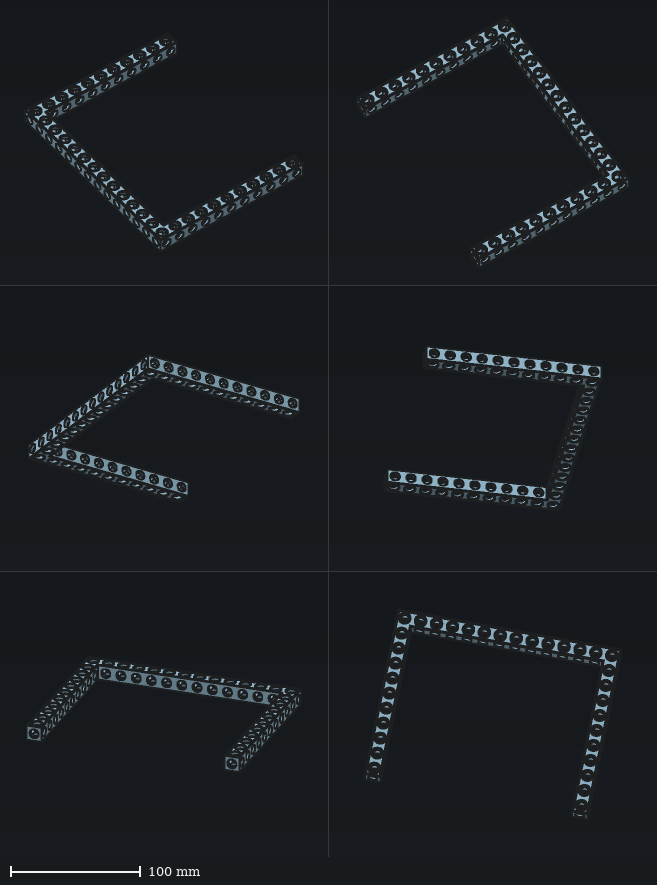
import cadquery as cq

holes_along_base = 14
holes_along_arm = 11
length = 175.0
pitch = length / holes_along_base
bar = pitch
depth = holes_along_arm * pitch
hole_diameter = 7.0
rim_width = 1.1
collar_diameter = hole_diameter + 2 * rim_width
recess_depth = 0.2
edge_break = 0.3

first_x = (bar - length) / 2
first_y = (bar - depth) / 2
column_xs = [first_x + i * pitch for i in range(holes_along_base)]
row_ys = [first_y + i * pitch for i in range(holes_along_arm)]
base_spots = [(x, first_y) for x in column_xs]
arm_spots = [(x, y) for x in (column_xs[0], column_xs[-1]) for y in row_ys[1:]]
hole_spots = base_spots + arm_spots


def u_prism(inset, height):
    """U-shaped prism opening toward +Y, its outline drawn in by `inset` on every side."""
    outer_x = length / 2 - inset
    inner_x = length / 2 - bar + inset
    front = -depth / 2 + inset
    back = depth / 2 - inset
    inner_y = -depth / 2 + bar - inset
    outline = [
        (-outer_x, front),
        (outer_x, front),
        (outer_x, back),
        (inner_x, back),
        (inner_x, inner_y),
        (-inner_x, inner_y),
        (-inner_x, back),
        (-outer_x, back),
    ]
    return cq.Workplane("XY").polyline(outline).close().extrude(height / 2, both=True)


def cylinders(plane, spots, diameter, span):
    """Cylinders of one diameter, centred on the plane and reaching span / 2 to either side."""
    return cq.Workplane(plane).pushPoints(spots).circle(diameter / 2).extrude(span / 2, both=True)


def recesses():
    """Shallow sunken fields in the top and bottom, leaving an outer rim and a collar at each hole."""
    web = u_prism(0, bar - 2 * recess_depth)
    collars = cylinders("XY", hole_spots, collar_diameter, bar)
    return u_prism(rim_width, bar).cut(web).cut(collars)


def frame():
    """Square bar bent into a U, drilled along all three axes, with its edges and hole mouths chamfered."""
    holes_along_z = cylinders("XY", hole_spots, hole_diameter, bar)
    holes_along_y = cylinders("XZ", [(x, 0) for x in column_xs], hole_diameter, depth)
    holes_along_x = cylinders("YZ", [(y, 0) for y in row_ys], hole_diameter, length)
    drilled = u_prism(0, bar).cut(holes_along_z).cut(holes_along_y).cut(holes_along_x)
    return drilled.faces("%PLANE").edges().chamfer(edge_break)


result = frame().cut(recesses())